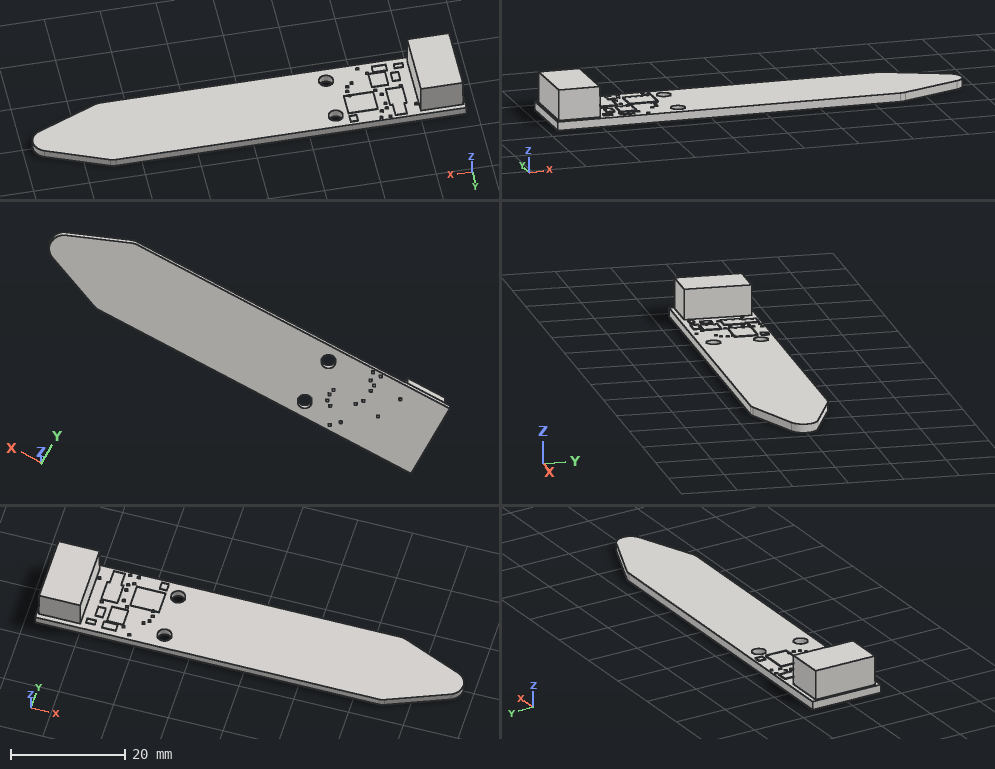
import cadquery as cq
import math

BOARD_LENGTH = 76.2
BOARD_WIDTH = 13.95
BOARD_THICKNESS = 1.6
TAPER_ANGLE = math.radians(22)
OUTLINE_RADIUS = 2.6

MOUNT_DIAMETER = 2.5
MOUNT_X = 22.85
MOUNT_Y = 4.3

VIA_DIAMETER = 0.5
VIA_CENTRES = [
    (8.45, 4.3), (10.3, -0.45), (13.5, 6.3), (15.1, 6.3), (14.7, 4.8),
    (13.7, 4.3), (13.7, 3.1), (13.95, 0.85), (14.85, -0.3), (15.5, -4.6),
    (16.9, -5.95), (18.6, -2.8), (19.5, -2.1), (19.7, -1.0), (19.5, 0.1),
]

COMPONENT_HEIGHT = 0.15
COMPONENTS = [
    (10.5, 3.8, 2.05, 2.5),
    (10.05, -0.1, 3.0, 3.9),
    (15.3, 0.1, 5.25, 4.2),
    (19.3, 4.95, 1.3, 1.4),
    (12.35, -4.3, 3.0, 3.2),
    (10.05, -3.7, 1.4, 2.0),
    (8.9, -5.65, 1.6, 0.9),
    (11.9, -5.9, 2.5, 1.4),
]

TOTAL_HEIGHT = 7.2
CONNECTOR_HEIGHT = TOTAL_HEIGHT - BOARD_THICKNESS
CONNECTOR_LENGTH = 7.55
CONNECTOR_WIDTH = 12.2
CONNECTOR_SETBACK = 0.45


def make_blank():
    """Board outline, drawn to a sharp point and then rounded back to the full length."""
    half_width = BOARD_WIDTH / 2
    apex_x = BOARD_LENGTH + OUTLINE_RADIUS * (1 / math.sin(TAPER_ANGLE) - 1)
    shoulder_x = apex_x - half_width / math.tan(TAPER_ANGLE)
    outline = [
        (0, -half_width),
        (shoulder_x, -half_width),
        (apex_x, 0),
        (shoulder_x, half_width),
        (0, half_width),
    ]
    blank = cq.Workplane("XY").polyline(outline).close().extrude(BOARD_THICKNESS)
    square_end_margin = 0.8
    rounded_edges = cq.selectors.BoxSelector(
        (square_end_margin, -BOARD_WIDTH, 0),
        (apex_x + square_end_margin, BOARD_WIDTH, BOARD_THICKNESS),
    )
    return blank.edges("|Z").edges(rounded_edges).fillet(OUTLINE_RADIUS)


def make_through_holes(centres, diameter):
    """Cutters for round holes through the board."""
    return cq.Workplane("XY").pushPoints(centres).circle(diameter / 2).extrude(BOARD_THICKNESS)


def make_component(x_min, y_min, length, width):
    """One low rectangular component on the top face of the board."""
    return (
        cq.Workplane("XY", origin=(x_min, y_min, BOARD_THICKNESS))
        .rect(length, width, centered=False)
        .extrude(COMPONENT_HEIGHT)
    )


def make_board():
    """Drilled board with its low components, as one solid."""
    mount_centres = [(MOUNT_X, -MOUNT_Y), (MOUNT_X, MOUNT_Y)]
    board = make_blank()
    board = board.cut(make_through_holes(mount_centres, MOUNT_DIAMETER))
    board = board.cut(make_through_holes(VIA_CENTRES, VIA_DIAMETER))
    for component in COMPONENTS:
        board = board.union(make_component(*component))
    return board


def make_connector():
    """Plain connector block resting on the board."""
    return (
        cq.Workplane("XY", origin=(CONNECTOR_SETBACK, 0, BOARD_THICKNESS))
        .box(CONNECTOR_LENGTH, CONNECTOR_WIDTH, CONNECTOR_HEIGHT, centered=(False, True, False))
    )


board = make_board()
connector = make_connector()

result = cq.Compound.makeCompound([board.solids().val(), connector.val()])